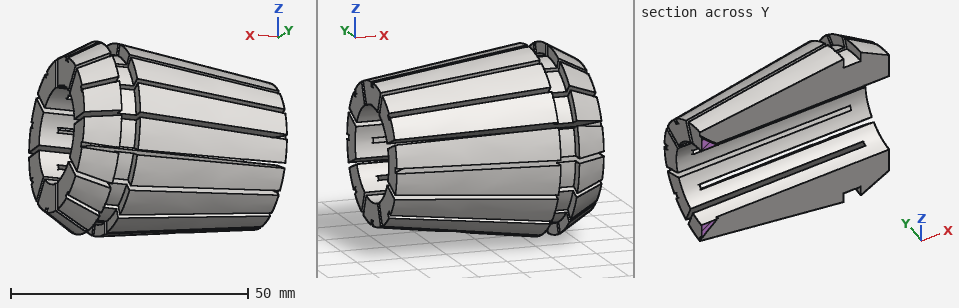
import cadquery as cq
import math

length = 46.0
max_diameter = 41.0
max_radius = max_diameter / 2
bore_diameter = 21.0
bore_radius = bore_diameter / 2
long_cone_length = 34.9
long_cone_angle = 8.0
groove_width = 4.2
groove_diameter = 36.0
nose_angle = 30.0

slots_per_set = 8
slot_pitch = 360 / slots_per_set
slot_width = 1.1
bridge_length = 4.1
saw_radius = 46.0
small_bridge_radius = 14.65
nose_bridge_radius = 15.85

nose_start = long_cone_length + groove_width
small_end_radius = max_radius - long_cone_length * math.tan(math.radians(long_cone_angle))
nose_end_radius = max_radius - (length - nose_start) * math.tan(math.radians(nose_angle))
slot_foot_radius = math.sqrt(bore_radius**2 - (slot_width / 2) ** 2)


def turned_body():
    """Long taper, extractor groove and short nose taper around a straight bore."""
    return (
        cq.Workplane("XY")
        .moveTo(0, bore_radius)
        .lineTo(0, small_end_radius)
        .lineTo(long_cone_length, max_radius)
        .lineTo(long_cone_length, groove_diameter / 2)
        .lineTo(nose_start, groove_diameter / 2)
        .lineTo(nose_start, max_radius)
        .lineTo(length, nose_end_radius)
        .lineTo(length, bore_radius)
        .close()
        .revolve(360, (0, 0, 0), (1, 0, 0))
    )


def slot_cutter(through_end, bridge_end, bridge_radius):
    """Slot through the wall from one end face, running out in a saw arc toward the other end face.

    The arc leaves a bridge that reaches bridge_radius at its end face and bridge_length along the bore.
    """
    direction = math.copysign(1, through_end - bridge_end)
    bore_end = bridge_end + direction * bridge_length
    bridge_height = bridge_radius - slot_foot_radius
    chord = math.hypot(bridge_length, bridge_height)
    sagitta = saw_radius - math.sqrt(saw_radius**2 - (chord / 2) ** 2)
    arc_middle = (
        (bore_end + bridge_end) / 2 - direction * sagitta * bridge_height / chord,
        (slot_foot_radius + bridge_radius) / 2 - sagitta * bridge_length / chord,
    )
    return (
        cq.Workplane("XZ")
        .moveTo(bore_end, 0)
        .lineTo(bore_end, slot_foot_radius)
        .threePointArc(arc_middle, (bridge_end, bridge_radius))
        .lineTo(bridge_end, max_radius)
        .lineTo(through_end, max_radius)
        .lineTo(through_end, 0)
        .close()
        .extrude(slot_width / 2, both=True)
    )


def cut_slots(body, cutter, first_angle):
    """Cut one evenly spaced set of slots around the X axis."""
    for index in range(slots_per_set):
        angle = first_angle + index * slot_pitch
        body = body.cut(cutter.rotate((0, 0, 0), (1, 0, 0), angle))
    return body


nose_slot = slot_cutter(length, 0, small_bridge_radius)
small_end_slot = slot_cutter(0, length, nose_bridge_radius)

result = turned_body()
result = cut_slots(result, nose_slot, 0)
result = cut_slots(result, small_end_slot, slot_pitch / 2)